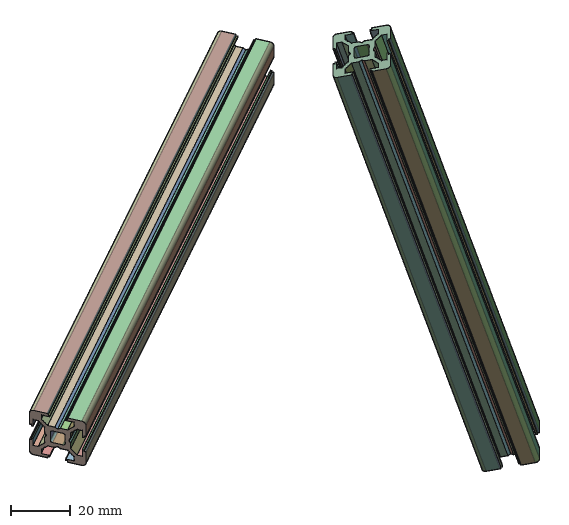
import cadquery as cq
import math

side = 20.0
length = 200.0
corner_radius = 1.5

mouth_width = 6.8
mouth_edge_radius = 0.3
mouth_depth = 0.7
slot_opening = 5.5
lip_thickness = 1.3
slot_width = 11.5
web_thickness = 1.5

core_width = 9.2
groove_width = 2.0
groove_depth = 0.5
bore_width = 5.2
bore_corner_radius = 0.8

half_side = side / 2
half_core = core_width / 2
half_slot = slot_width / 2
half_opening = slot_opening / 2
ledge = half_side - mouth_depth
lip_inner = half_side - lip_thickness
flank_offset = web_thickness / math.sqrt(2)


def square_bar(width):
    return cq.Workplane("XZ").rect(width, width).extrude(length / 2, both=True)


def edges_at(x, z):
    """Selector for the two lengthwise edges at height z, at x and -x."""
    reach = half_side / 100
    boxes = [
        cq.selectors.BoxSelector(
            (center - reach, -length, z - reach),
            (center + reach, length, z + reach),
        )
        for center in (x, -x)
    ]
    return boxes[0] + boxes[1]


def slot_cutter():
    """Space of the slot in the +Z face, down to the core and its V-groove."""
    right_side = [
        (mouth_width / 2, half_side),
        (mouth_width / 2, ledge),
        (half_opening, ledge),
        (half_opening, lip_inner),
        (half_slot, lip_inner),
        (half_slot, half_slot + flank_offset),
        (half_core - flank_offset, half_core),
        (groove_width / 2, half_core),
    ]
    groove_bottom = (0, half_core - groove_depth)
    left_side = [(-x, z) for x, z in reversed(right_side)]
    outline = cq.Workplane("XZ").polyline(right_side + [groove_bottom] + left_side).close()
    return outline.extrude(length / 2, both=True)


bar = square_bar(side).edges("|Y").fillet(corner_radius)
bore = square_bar(bore_width).edges("|Y").fillet(bore_corner_radius)
bar = bar.cut(bore)

cutter = slot_cutter()
for quarter in range(4):
    bar = bar.cut(cutter.rotate((0, 0, 0), (0, 1, 0), 90 * quarter))

mouth_edges = edges_at(mouth_width / 2, half_side)
for quarter in range(4):
    bar = bar.edges(mouth_edges).fillet(mouth_edge_radius)
    bar = bar.rotate((0, 0, 0), (0, 1, 0), 90)

result = bar